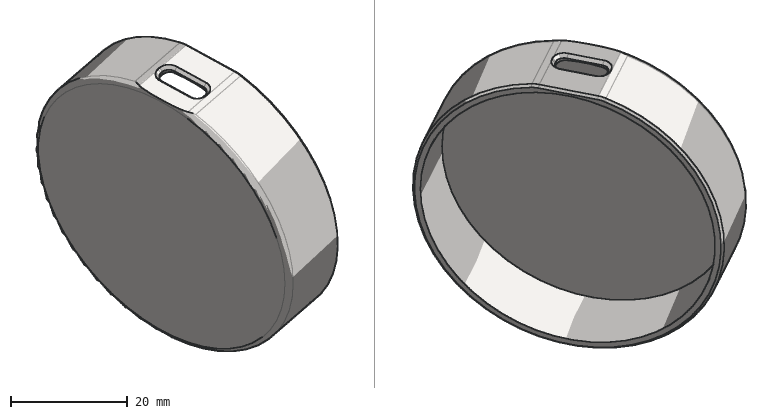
import cadquery as cq
import math

outer_radius = 28.0
depth = 13.8
flat_width = 10.65
flat_blend_radius = 5.6
front_fillet = 1.0
back_chamfer = 0.45

wall = 1.5
cavity_radius = outer_radius - wall

slot_length = 9.35
slot_width = 3.3
slot_corner_radius = 1.45
slot_y = -1.0
slot_chamfer = 0.6

front_y = -depth / 2

blend_center_height = math.sqrt((outer_radius - flat_blend_radius) ** 2 - (flat_width / 2) ** 2)
flat_height = blend_center_height + flat_blend_radius


def disc(radius, start_y, length):
    """Cylinder along +Y, starting at start_y."""
    plane = cq.Plane(origin=(0, start_y, 0), xDir=(1, 0, 0), normal=(0, 1, 0))
    return cq.Workplane(plane).circle(radius).extrude(length)


def flattened_body():
    """Disc with a blended flat on top and a chamfered back rim."""
    size = 2 * outer_radius
    below_flat = cq.Workplane("XY").box(size, depth, size).translate((0, 0, flat_height - outer_radius))
    body = disc(outer_radius, front_y, depth).intersect(below_flat)
    body = body.edges("|Y and >Z").fillet(flat_blend_radius)
    return body.faces(">Y").edges().chamfer(back_chamfer)


def slot_prism(length, width, corner_radius, height, taper=0):
    """Rounded rectangle extruded down from the flat, narrowing by the taper angle."""
    outline = cq.Sketch().rect(length, width).vertices().fillet(corner_radius)
    top = cq.Workplane("XY", origin=(0, slot_y, flat_height))
    return top.placeSketch(outline).extrude(-height, taper=taper)


def slot_cutter():
    """Rounded slot reaching into the cavity, opened out by a 45 degree chamfer at the flat."""
    passage = slot_prism(slot_length, slot_width, slot_corner_radius, 2 * wall)
    mouth = slot_prism(
        slot_length + 2 * slot_chamfer,
        slot_width + 2 * slot_chamfer,
        slot_corner_radius + slot_chamfer,
        slot_chamfer,
        taper=45,
    )
    return passage.union(mouth)


rounded_disc = disc(outer_radius, front_y, depth).faces("<Y").edges().fillet(front_fillet)
cavity = disc(cavity_radius, front_y + wall, depth - wall)

result = flattened_body().intersect(rounded_disc).cut(cavity).cut(slot_cutter())